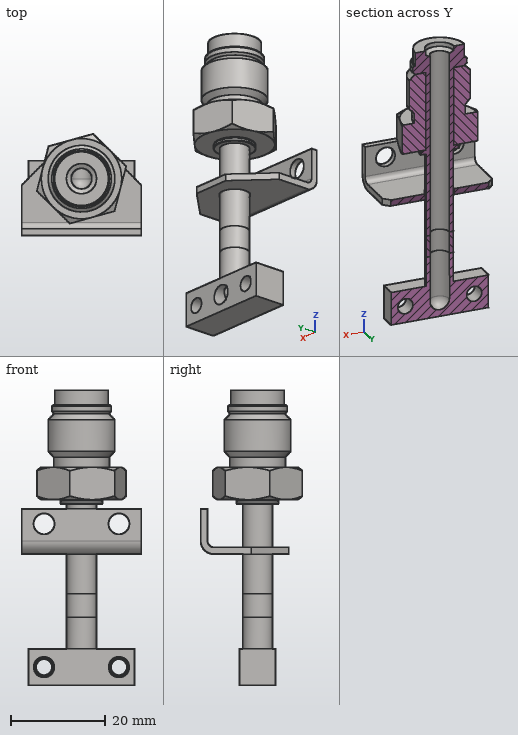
import cadquery as cq
import math

TOTAL_HEIGHT = 62.6

PIPE_RADIUS = 3.2
BORE_RADIUS = 2.2

BLOCK_LENGTH = 22.55
BLOCK_SIDE = 7.7
STUB_TOP = 14.45
SCREW_HOLE_RADIUS = 1.7
SCREW_RECESS_RADIUS = 2.0
SCREW_RIM_RADIUS = 2.2
SCREW_SPACING = 15.9

SLEEVE_TOP = 19.4

BRACKET_WIDTH = 25.4
PLATE_THICKNESS = 1.5
BRACKET_BOTTOM = 27.8
BRACKET_TOP = 37.45
BRACKET_FRONT = -12.1
BRACKET_BACK = 6.65
BEND_OUTER_RADIUS = 2.8
BRACKET_CORNER_CUT = 8.0
BRACKET_PIPE_HOLE_RADIUS = 3.3
BRACKET_HOLE_RADIUS = 2.2
BRACKET_HOLE_HEIGHT = 34.25

HEX_BOTTOM = 39.4
HEX_TOP = 46.25
HEX_ACROSS_FLATS = 17.0
HEX_TURN = 15.5
HEX_BEVEL_ANGLE = 30.0
NECK_RADIUS = 5.95
NECK_TOP = 48.4
THREAD_RADIUS = 7.1
THREAD_BEVEL = 1.25
NUT_TOP = 57.6

COLLAR_RADIUS = 4.5
COLLAR_BOTTOM = 38.45
COLLAR_TOP = 39.1
COLLAR_BEVEL = 0.1
CONE_TOP_RADIUS = 4.4
CONE_BOTTOM_RADIUS = 4.2
RING_RADIUS = 6.3
RING_TOP = 59.55
RING_UPPER_BEVEL = 0.4
RING_LOWER_BEVEL = 0.5
HEAD_RADIUS = 5.7
SOCKET_DEPTH = 1.0
SEAT_DEPTH = 0.55


def revolved(profile):
    """Turn a closed (radius, height) outline about the Z axis."""
    return cq.Workplane("XZ").polyline(profile).close().revolve(360, (0, 0, 0), (0, 1, 0))


def screw_points(height):
    """The (x, z) places of the two screw holes."""
    return [(side * SCREW_SPACING / 2, height) for side in (-1, 1)]


def screw_hole_cutter():
    """Hole along Y: bevelled rim on the front face, a flat ring, then the bore through."""
    front = -BLOCK_SIDE / 2
    ring_level = front + SCREW_RIM_RADIUS - SCREW_RECESS_RADIUS
    return (
        cq.Workplane("XY")
        .moveTo(0, front)
        .lineTo(SCREW_RIM_RADIUS, front)
        .lineTo(SCREW_RECESS_RADIUS, ring_level)
        .lineTo(SCREW_HOLE_RADIUS, ring_level)
        .lineTo(SCREW_HOLE_RADIUS, -front)
        .lineTo(0, -front)
        .close()
        .revolve(360, (0, 0, 0), (0, 1, 0))
    )


def make_port_block():
    middle = BLOCK_SIDE / 2
    block = cq.Workplane("XY").box(BLOCK_LENGTH, BLOCK_SIDE, BLOCK_SIDE, centered=(True, True, False))
    stub = cq.Workplane("XY").circle(PIPE_RADIUS).extrude(STUB_TOP)

    down_bore = cq.Workplane("XY", origin=(0, 0, middle)).circle(BORE_RADIUS).extrude(STUB_TOP)
    turn = cq.Workplane("XY", origin=(0, 0, middle)).sphere(BORE_RADIUS)
    back_bore = cq.Workplane("XZ", origin=(0, 0, middle)).circle(BORE_RADIUS).extrude(-BLOCK_SIDE)
    body = block.union(stub).cut(down_bore).cut(turn).cut(back_bore)

    for x, z in screw_points(middle):
        body = body.cut(screw_hole_cutter().translate((x, 0, z)))
    return body


def make_sleeve():
    return (
        cq.Workplane("XY", origin=(0, 0, STUB_TOP))
        .circle(PIPE_RADIUS)
        .circle(BORE_RADIUS)
        .extrude(SLEEVE_TOP - STUB_TOP)
    )


def make_bracket():
    half_width = BRACKET_WIDTH / 2
    length = BRACKET_BACK - BRACKET_FRONT
    height = BRACKET_TOP - BRACKET_BOTTOM
    inner_front = BRACKET_FRONT + PLATE_THICKNESS
    inner_bottom = BRACKET_BOTTOM + PLATE_THICKNESS
    plate = (
        cq.Workplane("YZ", origin=(-half_width, 0, 0))
        .moveTo(BRACKET_FRONT, BRACKET_BOTTOM)
        .lineTo(BRACKET_BACK, BRACKET_BOTTOM)
        .lineTo(BRACKET_BACK, inner_bottom)
        .lineTo(inner_front, inner_bottom)
        .lineTo(inner_front, BRACKET_TOP)
        .lineTo(BRACKET_FRONT, BRACKET_TOP)
        .close()
        .extrude(BRACKET_WIDTH)
    )
    plate = plate.edges("|X and <Y and <Z").fillet(BEND_OUTER_RADIUS)
    bend_edge = cq.selectors.NearestToPointSelector((0, inner_front, inner_bottom))
    plate = plate.edges(bend_edge).fillet(BEND_OUTER_RADIUS - PLATE_THICKNESS)
    plate = plate.edges("|Z and >Y").chamfer(BRACKET_CORNER_CUT)

    pipe_hole = (
        cq.Workplane("XY", origin=(0, 0, BRACKET_BOTTOM))
        .circle(BRACKET_PIPE_HOLE_RADIUS)
        .extrude(height)
    )
    screw_holes = (
        cq.Workplane("XZ", origin=(0, BRACKET_FRONT, 0))
        .pushPoints(screw_points(BRACKET_HOLE_HEIGHT))
        .circle(BRACKET_HOLE_RADIUS)
        .extrude(-length)
    )
    return plate.cut(pipe_hole).cut(screw_holes)


def make_nut():
    flat_radius = HEX_ACROSS_FLATS / 2
    corner_radius = flat_radius / math.cos(math.radians(30))
    bevel_height = (corner_radius - flat_radius) * math.tan(math.radians(HEX_BEVEL_ANGLE))
    hexagon = (
        cq.Workplane("XY", origin=(0, 0, HEX_BOTTOM))
        .polygon(6, 2 * corner_radius)
        .extrude(HEX_TOP - HEX_BOTTOM)
        .rotate((0, 0, 0), (0, 0, 1), HEX_TURN)
    )
    bevel_limit = revolved([
        (0, HEX_BOTTOM),
        (flat_radius, HEX_BOTTOM),
        (corner_radius, HEX_BOTTOM + bevel_height),
        (corner_radius, HEX_TOP - bevel_height),
        (flat_radius, HEX_TOP),
        (0, HEX_TOP),
    ])
    thread = revolved([
        (0, HEX_TOP),
        (NECK_RADIUS, HEX_TOP),
        (NECK_RADIUS, NECK_TOP),
        (THREAD_RADIUS, NECK_TOP + THREAD_BEVEL),
        (THREAD_RADIUS, NUT_TOP - THREAD_BEVEL),
        (THREAD_RADIUS - THREAD_BEVEL, NUT_TOP),
        (0, NUT_TOP),
    ])
    pipe_hole = cq.Workplane("XY").circle(PIPE_RADIUS).extrude(TOTAL_HEIGHT)
    return hexagon.intersect(bevel_limit).union(thread).cut(pipe_hole)


def make_gland():
    socket_floor = TOTAL_HEIGHT - SOCKET_DEPTH
    return revolved([
        (BORE_RADIUS, SLEEVE_TOP),
        (PIPE_RADIUS, SLEEVE_TOP),
        (PIPE_RADIUS, COLLAR_BOTTOM),
        (COLLAR_RADIUS - COLLAR_BEVEL, COLLAR_BOTTOM),
        (COLLAR_RADIUS, COLLAR_BOTTOM + COLLAR_BEVEL),
        (COLLAR_RADIUS, COLLAR_TOP),
        (CONE_BOTTOM_RADIUS, COLLAR_TOP),
        (CONE_TOP_RADIUS, HEX_BOTTOM),
        (PIPE_RADIUS, HEX_BOTTOM),
        (PIPE_RADIUS, NUT_TOP),
        (RING_RADIUS - RING_LOWER_BEVEL, NUT_TOP),
        (RING_RADIUS, NUT_TOP + RING_LOWER_BEVEL),
        (RING_RADIUS, RING_TOP - RING_UPPER_BEVEL),
        (RING_RADIUS - RING_UPPER_BEVEL, RING_TOP),
        (HEAD_RADIUS, RING_TOP),
        (HEAD_RADIUS, TOTAL_HEIGHT),
        (PIPE_RADIUS, TOTAL_HEIGHT),
        (PIPE_RADIUS, socket_floor),
        (BORE_RADIUS, socket_floor - SEAT_DEPTH),
    ])


port_block = make_port_block()
sleeve = make_sleeve()
bracket = make_bracket()
nut = make_nut()
gland = make_gland()

result = cq.Compound.makeCompound([
    port_block.val(),
    sleeve.val(),
    bracket.val(),
    nut.val(),
    gland.val(),
])